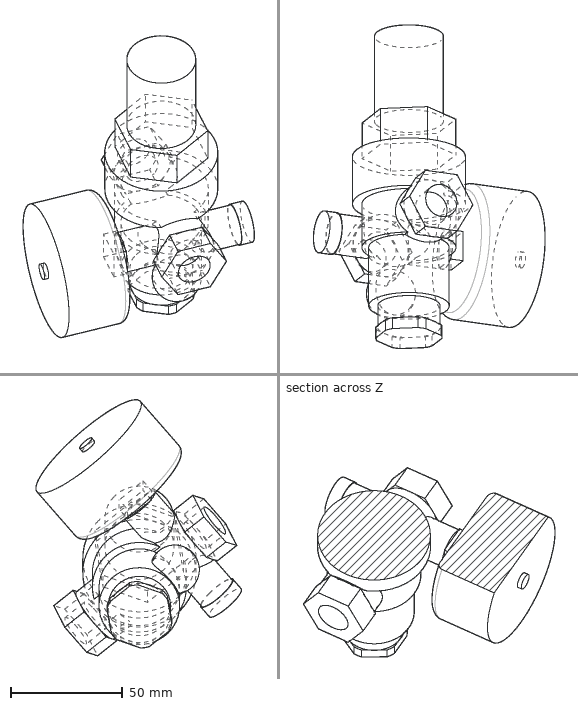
import cadquery as cq
import math


overall_height = 143.8
bottom_z = -53.5
bottom_hex_top_z = -48.3
barrel_bottom_z = -38.1
neck_half_height = 10.4
flange_top_z = 33.0
bonnet_hex_top_z = 49.9
knob_top_z = bottom_z + overall_height

bottom_hex_flats = 27.6
bottom_hex_round_diameter = 29.9
plug_diameter = 28.0
barrel_diameter = 36.2
neck_diameter = 42.3
flange_diameter = 50.9
bonnet_hex_flats = 36.8
knob_diameter = 31.0

pipe_diameter = 27.0
nut_flats = 26.7
nut_length = 11.4
inlet_end_x = -37.2
outlet_end_x = 44.1
bore_diameter = 15.2
bore_depth = nut_length

branch_x = 22.9
branch_diameter = 18.3
branch_front_y = -27.3
branch_back_y = 33.0
collar_diameter = 19.1
collar_length = 6.0

stem_width = 14.0
gauge_back_y = -33.2
gauge_depth = 29.9
gauge_diameter = 61.8
gauge_back_fillet = 2.9
pin_diameter = 7.2
pin_end_y = -65.1

boss_radius = 11.1
boss_x = 20.7
boss_z = -25.7


def across_corners(flats):
    """Corner-to-corner size of a hexagon of the given width across flats."""
    return flats / math.cos(math.pi / 6)


def cylinder_z(diameter, z_start, z_end):
    return cq.Workplane("XY", origin=(0, 0, z_start)).circle(diameter / 2).extrude(z_end - z_start)


def hex_z(flats, z_start, z_end):
    """Upright hexagonal prism with corners on the X axis."""
    plane = cq.Workplane("XY", origin=(0, 0, z_start))
    return plane.polygon(6, across_corners(flats)).extrude(z_end - z_start)


def cylinder_x(diameter, x_start, x_end):
    return cq.Workplane("YZ", origin=(x_start, 0, 0)).circle(diameter / 2).extrude(x_end - x_start)


def hex_x(flats, x_start, x_end):
    """Hexagonal prism along the flow axis with corners pointing along Y."""
    plane = cq.Workplane("YZ", origin=(x_start, 0, 0))
    return plane.polygon(6, across_corners(flats)).extrude(x_end - x_start)


def cylinder_y(diameter, y_start, y_end):
    """Cylinder on the branch axis, from y_start forward or backward to y_end."""
    plane = cq.Workplane("XZ", origin=(branch_x, y_start, 0))
    return plane.circle(diameter / 2).extrude(y_start - y_end)


def make_body():
    corner_round = cylinder_z(bottom_hex_round_diameter, bottom_z, bottom_hex_top_z)
    body = hex_z(bottom_hex_flats, bottom_z, bottom_hex_top_z).intersect(corner_round)
    stages = [
        cylinder_z(plug_diameter, bottom_hex_top_z, barrel_bottom_z),
        cylinder_z(barrel_diameter, barrel_bottom_z, -neck_half_height),
        cylinder_z(neck_diameter, -neck_half_height, neck_half_height),
        cylinder_z(flange_diameter, neck_half_height, flange_top_z),
        hex_z(bonnet_hex_flats, flange_top_z, bonnet_hex_top_z),
        cylinder_z(knob_diameter, bonnet_hex_top_z, knob_top_z),
    ]
    for stage in stages:
        body = body.union(stage)
    return body


def make_flow_line():
    inlet_nut_x = inlet_end_x + nut_length
    outlet_nut_x = outlet_end_x - nut_length
    pipe = cylinder_x(pipe_diameter, inlet_nut_x, outlet_nut_x)
    inlet_nut = hex_x(nut_flats, inlet_end_x, inlet_nut_x)
    outlet_nut = hex_x(nut_flats, outlet_nut_x, outlet_end_x)
    return pipe.union(inlet_nut).union(outlet_nut)


def make_bores():
    inlet_bore = cylinder_x(bore_diameter, inlet_end_x, inlet_end_x + bore_depth)
    outlet_bore = cylinder_x(bore_diameter, outlet_end_x - bore_depth, outlet_end_x)
    return inlet_bore.union(outlet_bore)


def make_branch():
    tube = cylinder_y(branch_diameter, branch_front_y, branch_back_y)
    collar = cylinder_y(collar_diameter, branch_back_y - collar_length, branch_back_y)
    return tube.union(collar)


def make_gauge():
    gauge_front_y = gauge_back_y - gauge_depth
    case = cylinder_y(gauge_diameter, gauge_front_y, gauge_back_y)
    case = case.edges(">Y").fillet(gauge_back_fillet)
    stem_plane = cq.Workplane("XZ", origin=(branch_x, branch_front_y, 0))
    stem = stem_plane.rect(stem_width, stem_width).extrude(branch_front_y - gauge_back_y)
    pin = cylinder_y(pin_diameter, pin_end_y, gauge_front_y)
    return case.union(stem).union(pin)


def make_boss():
    return cq.Workplane("XY", origin=(boss_x, 0, boss_z)).sphere(boss_radius)


result = make_body().union(make_flow_line()).union(make_branch()).union(make_gauge())
result = result.union(make_boss()).cut(make_bores())